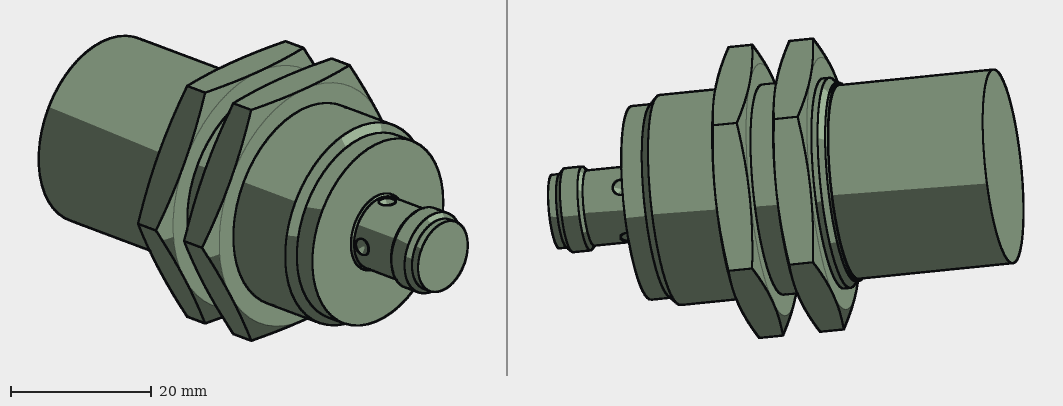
import cadquery as cq
import math

TOTAL_LENGTH = 65.0
NOSE_END = 22.45
THREAD_END = 48.4
BARREL_END = 52.55
COLLAR_START = 59.95
COLLAR_END = 63.85

NOSE_DIAMETER = 27.7
SLEEVE_LIP_DIAMETER = 28.35
THREAD_DIAMETER = 30.05
CONNECTOR_DIAMETER = 10.8
COLLAR_DIAMETER = 12.0
TIP_DIAMETER = 10.55

SLEEVE_LIP_LENGTH = 0.4
FRONT_CHAMFER_LENGTH = 0.9
CONNECTOR_FLARE = 0.3
COLLAR_CHAMFER = (COLLAR_DIAMETER - CONNECTOR_DIAMETER) / 2
TIP_CHAMFER = (COLLAR_DIAMETER - TIP_DIAMETER) / 2

DIMPLE_COUNT = 4
DIMPLE_X = 54.35
DIMPLE_DIAMETER = 2.5
DIMPLE_POINT_ANGLE = 118.0

NUT_SIDES = 6
NUT_ACROSS_FLATS = 36.0
NUT_THICKNESS = 4.95
NUT_CHAMFER_ANGLE = 15.0
NUT_STARTS = (24.65, 33.5)


def make_sensor_blank():
    """Revolved body: nose, threaded sleeve, end cap and connector."""
    nose_r = NOSE_DIAMETER / 2
    lip_r = SLEEVE_LIP_DIAMETER / 2
    thread_r = THREAD_DIAMETER / 2
    connector_r = CONNECTOR_DIAMETER / 2
    collar_r = COLLAR_DIAMETER / 2
    tip_r = TIP_DIAMETER / 2
    lip_end = NOSE_END + SLEEVE_LIP_LENGTH
    rear_chamfer = thread_r - nose_r
    half_profile = [
        (0, 0),
        (0, nose_r),
        (NOSE_END, nose_r),
        (NOSE_END, lip_r),
        (lip_end, lip_r),
        (lip_end + FRONT_CHAMFER_LENGTH, thread_r),
        (THREAD_END, thread_r),
        (THREAD_END + rear_chamfer, nose_r),
        (BARREL_END, nose_r),
        (BARREL_END, connector_r + CONNECTOR_FLARE),
        (BARREL_END + CONNECTOR_FLARE, connector_r),
        (COLLAR_START, connector_r),
        (COLLAR_START + COLLAR_CHAMFER, collar_r),
        (COLLAR_END - TIP_CHAMFER, collar_r),
        (COLLAR_END, tip_r),
        (TOTAL_LENGTH, tip_r),
        (TOTAL_LENGTH, 0),
    ]
    return cq.Workplane("XY").polyline(half_profile).close().revolve(360, (0, 0, 0), (1, 0, 0))


def make_dimple_cutter():
    """Drill shape pointing down at the axis; its cone starts where the rim is lowest."""
    dimple_r = DIMPLE_DIAMETER / 2
    connector_r = CONNECTOR_DIAMETER / 2
    cone_top_z = math.sqrt(connector_r**2 - dimple_r**2)
    cone_depth = dimple_r / math.tan(math.radians(DIMPLE_POINT_ANGLE / 2))
    half_profile = [
        (DIMPLE_X, cone_top_z - cone_depth),
        (DIMPLE_X + dimple_r, cone_top_z),
        (DIMPLE_X + dimple_r, connector_r),
        (DIMPLE_X, connector_r),
    ]
    return (
        cq.Workplane("XZ")
        .polyline(half_profile)
        .close()
        .revolve(360, (DIMPLE_X, 0, 0), (DIMPLE_X, 1, 0))
    )


def make_sensor():
    sensor = make_sensor_blank()
    cutter = make_dimple_cutter()
    for i in range(DIMPLE_COUNT):
        angle = i * 360 / DIMPLE_COUNT
        sensor = sensor.cut(cutter.rotate((0, 0, 0), (1, 0, 0), angle))
    return sensor.solids()


def make_nut(start_x):
    """Hex nut on the X axis with flats facing +Z and -Z and both faces chamfered."""
    across_corners = NUT_ACROSS_FLATS / math.cos(math.pi / NUT_SIDES)
    flat_r = NUT_ACROSS_FLATS / 2
    corner_r = across_corners / 2
    chamfer_depth = (corner_r - flat_r) * math.tan(math.radians(NUT_CHAMFER_ANGLE))

    hexagon = cq.Workplane("YZ").polygon(NUT_SIDES, across_corners).extrude(NUT_THICKNESS)
    chamfer_envelope = (
        cq.Workplane("XY")
        .polyline([
            (0, 0),
            (0, flat_r),
            (chamfer_depth, corner_r),
            (NUT_THICKNESS - chamfer_depth, corner_r),
            (NUT_THICKNESS, flat_r),
            (NUT_THICKNESS, 0),
        ])
        .close()
        .revolve(360, (0, 0, 0), (1, 0, 0))
    )
    bore = cq.Workplane("YZ").circle(THREAD_DIAMETER / 2).extrude(NUT_THICKNESS)
    return hexagon.intersect(chamfer_envelope).cut(bore).translate((start_x, 0, 0)).solids()


sensor = make_sensor()
nuts = [make_nut(start_x) for start_x in NUT_STARTS]

result = cq.Compound.makeCompound([sensor.val(), *[nut.val() for nut in nuts]])